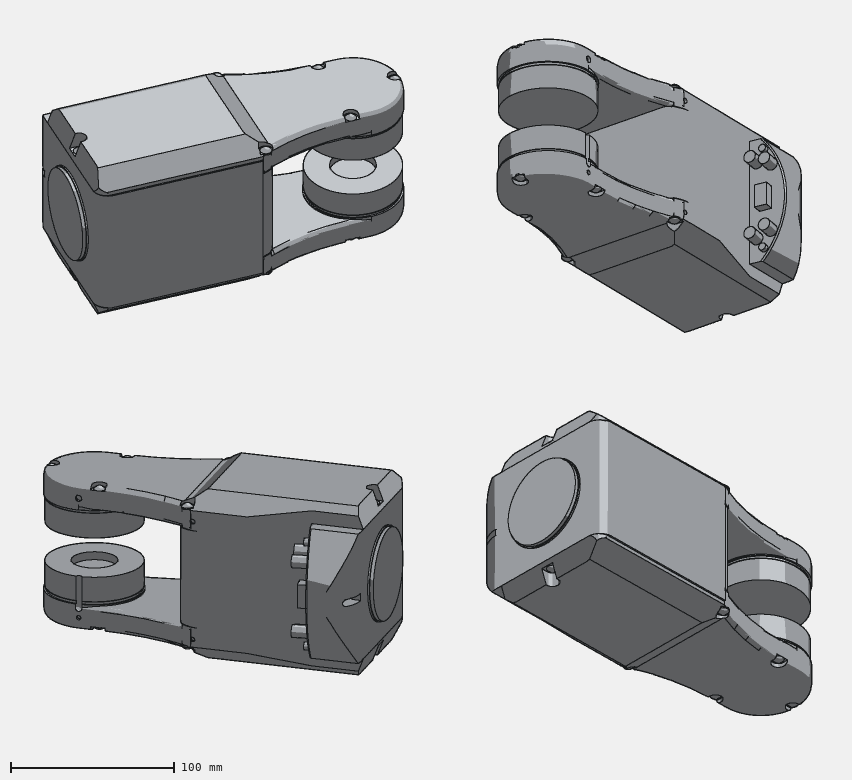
import cadquery as cq
import math


BODY_FRONT_Y = -185.8
BODY_BACK_Y = -70.5
BODY_HALF_WIDTH = 46.0
BODY_HALF_HEIGHT = 55.6
TOP_PANEL_HALF_WIDTH = 30.5
TOP_PANEL_RISE = 0.4
TOP_BEVEL = 2.7
SIDE_BEVEL = 0.4
SIDE_BEVEL_Z = 44.6
FLAT_HALF_HEIGHT = 42.3
BACK_SLOPE_MID_Y = -75.1
BACK_SLOPE_MID_Z = 49.4
BACK_SLOPE_TOP_Y = -84.4
FRONT_BEVEL_Y = -180.8
CORNER_Y = -77.2
CORNER_RADIUS = 13.0
LEFT_TAPER_START_Y = -110.8
LEFT_TAPER_END_Y = -152.8
LEFT_FRONT_X = -38.5
LEFT_TAPER_RADIUS = 10.0
FRONT_CORNER_RADIUS = 8.9

SIDE_PANEL_RISE = 1.1
SIDE_PANEL_BACK_Y = -77.6
SIDE_PANEL_ROOT = 12.0

ARM_RADIUS = 31.25
ARM_OUTER_Z = 47.5
ARM_INNER_Z = 31.6
ARM_STRAIGHT_Y = -14.5
FLARE_RADIUS = 140.0
ARM_COVER_TAPER = 9.0
ARM_OUTER_FILLET = 3.3
ARM_INNER_FILLET = 2.5
ARM_ROOT_Y = -77.0
WEB_BACK_Y = -67.7
WEB_BACK_RADIUS = 8.0
WEB_CORNER_Y = -78.6
WEB_SIDE_RADIUS = 9.5
WEB_ROOT_Y = -84.0

BOSS_FACE_Z = 30.8
BOSS_RADIUS = 31.0
DRUM_NECK_Z = 29.0
DRUM_FACE_Z = 12.8
DRUM_RADIUS = 30.5
NECK_RADIUS = 30.0
DRUM_ROOT_Z = FLAT_HALF_HEIGHT
DRUM_BORE_RADIUS = 14.3
DRUM_BORE_DEPTH = 5.2
KEY_GROOVE_RADIUS = 2.1
KEY_GROOVE_END_Z = -33.3

FLANGE_END_Y = -189.2
FLANGE_STEP_Y = -186.9
FLANGE_BASE_RADIUS = 30.0
FLANGE_FACE_RADIUS = 29.2

POCKET_RADIUS = 4.6
HEAD_RADIUS = 3.7
HEAD_HEIGHT = 2.2
HEAD_SINK = 1.0
ARM_POCKET_FLOOR = 44.7
CORNER_POCKET_FLOOR = 45.5
POCKET_REACH = 12.0
POCKET_CLEARANCE = 1.0
SCREWS = [
    (0.0, 27.5, (0, 1), ARM_POCKET_FLOOR),
    (27.3, -12.2, (1, 0), ARM_POCKET_FLOOR),
    (-27.3, -12.2, (-1, 0), ARM_POCKET_FLOOR),
    (41.2, -73.4, (1, 0), CORNER_POCKET_FLOOR),
    (-41.2, -73.4, (-1, 0), CORNER_POCKET_FLOOR),
    (0.0, -180.0, (0, -1), CORNER_POCKET_FLOOR),
]

PIN_HOLE_DEPTH = 2.0
PIN_HOLES = [
    (0.0, 38.5, 2.0, -ARM_RADIUS),
    (0.0, -39.5, 1.4, -ARM_RADIUS),
    (-78.2, 37.5, 1.6, -BODY_HALF_WIDTH),
    (-78.2, -39.5, 1.4, -BODY_HALF_WIDTH),
]

HOUSING_X = -63.4
HOUSING_SHOULDER_X = -47.2
HOUSING_ROOT_X = -30.0
HOUSING_NOSE_RADIUS = 20.4
HOUSING_BACK_Y = -152.7
HOUSING_BACK_TILT = 9.0
HOUSING_RIM_CHAMFER = 0.9
NOTCH_RADIUS = 2.3
NOTCH_END_Y = -178.9
NOTCH_FLOOR_X = -43.5

PLUG_RADIUS = 4.0
PLUG_LENGTH = 9.8
PLUGS = [(-53.6, 22.8), (-43.7, 26.2)]
FIXING_RADIUS = 2.4
FIXING_LENGTH = 3.1
FIXING_POSITION = (-48.7, 34.0)
SOCKET_X = -49.5
SOCKET_WIDTH = 8.5
SOCKET_LENGTH = 15.2
SOCKET_HEIGHT = 6.6
CONNECTOR_ROOT = 2.0


def box(x0, x1, y0, y1, z0, z1):
    return cq.Workplane("XY").box(x1 - x0, y1 - y0, z1 - z0, centered=False).translate((x0, y0, z0))


def vertical_cylinder(x, y, radius, z0, z1):
    return cq.Workplane("XY", origin=(x, y, z0)).circle(radius).extrude(z1 - z0)


def flare_x(y):
    """Half width of the arm at y on its concave flare."""
    drop = ARM_STRAIGHT_Y - y
    return ARM_RADIUS + FLARE_RADIUS - math.sqrt(FLARE_RADIUS**2 - drop**2)


def body_plan():
    """Body outline seen along Z, with sloped back corners and the tapered -X wall."""
    taper_points = [(-BODY_HALF_WIDTH, LEFT_TAPER_START_Y), (LEFT_FRONT_X, LEFT_TAPER_END_Y)]
    plan = (
        cq.Workplane("XY", origin=(0, 0, -BODY_HALF_HEIGHT))
        .moveTo(flare_x(BODY_BACK_Y), BODY_BACK_Y)
        .lineTo(BODY_HALF_WIDTH, CORNER_Y)
        .lineTo(BODY_HALF_WIDTH, BODY_FRONT_Y)
        .lineTo(LEFT_FRONT_X, BODY_FRONT_Y)
        .lineTo(*taper_points[1])
        .lineTo(*taper_points[0])
        .lineTo(-BODY_HALF_WIDTH, CORNER_Y)
        .lineTo(-flare_x(BODY_BACK_Y), BODY_BACK_Y)
        .close()
        .extrude(2 * BODY_HALF_HEIGHT)
    )
    front_corner = cq.selectors.NearestToPointSelector((BODY_HALF_WIDTH, BODY_FRONT_Y, 0))
    taper_corner = cq.selectors.NearestToPointSelector((*taper_points[0], 0))
    for side in (1, -1):
        back_corner = cq.selectors.NearestToPointSelector((side * BODY_HALF_WIDTH, CORNER_Y, 0))
        plan = plan.edges(back_corner).fillet(CORNER_RADIUS)
    plan = plan.edges(front_corner).fillet(FRONT_CORNER_RADIUS)
    return plan.edges(taper_corner).fillet(LEFT_TAPER_RADIUS)


def body_cross_section():
    """Chamfered rectangle seen along Y."""
    quarter = [
        (TOP_PANEL_HALF_WIDTH, BODY_HALF_HEIGHT),
        (TOP_PANEL_HALF_WIDTH + TOP_BEVEL, BODY_HALF_HEIGHT - TOP_PANEL_RISE),
        (BODY_HALF_WIDTH - SIDE_BEVEL, SIDE_BEVEL_Z),
        (BODY_HALF_WIDTH, FLAT_HALF_HEIGHT),
    ]
    right = quarter + [(x, -z) for x, z in reversed(quarter)]
    left = [(-x, z) for x, z in reversed(right)]
    length = BODY_BACK_Y - BODY_FRONT_Y
    plane = cq.Workplane("XZ", origin=(0, BODY_BACK_Y, 0))
    return plane.polyline(right + left).close().extrude(length)


def body_side_profile():
    """Body seen along X: sloped towards the arms, bevelled towards the front face."""
    upper = [
        (BODY_BACK_Y, ARM_OUTER_Z),
        (BACK_SLOPE_MID_Y, BACK_SLOPE_MID_Z),
        (BACK_SLOPE_TOP_Y, BODY_HALF_HEIGHT),
        (FRONT_BEVEL_Y, BODY_HALF_HEIGHT),
        (BODY_FRONT_Y, FLAT_HALF_HEIGHT),
    ]
    lower = [(y, -z) for y, z in reversed(upper)]
    plane = cq.Workplane("YZ")
    return plane.polyline(upper + lower).close().extrude(BODY_HALF_WIDTH, both=True)


def side_panel():
    """Raised panel on the +X face that wraps around the front corner."""
    outer_x = BODY_HALF_WIDTH + SIDE_PANEL_RISE
    panel = box(outer_x - SIDE_PANEL_ROOT, outer_x, BODY_FRONT_Y, SIDE_PANEL_BACK_Y,
                -FLAT_HALF_HEIGHT, FLAT_HALF_HEIGHT)
    return panel.edges(">X and <Y").fillet(FRONT_CORNER_RADIUS + SIDE_PANEL_RISE)


def arm():
    """Upper arm with concave flared sides, rounded rims and a round end left square on the inside."""
    mid_y = (ARM_STRAIGHT_Y + ARM_ROOT_Y) / 2
    root_x = flare_x(ARM_ROOT_Y)
    plate = (
        cq.Workplane("XY", origin=(0, 0, ARM_INNER_Z))
        .moveTo(-ARM_RADIUS, 0)
        .threePointArc((0, ARM_RADIUS), (ARM_RADIUS, 0))
        .lineTo(ARM_RADIUS, ARM_STRAIGHT_Y)
        .threePointArc((flare_x(mid_y), mid_y), (root_x, ARM_ROOT_Y))
        .lineTo(-root_x, ARM_ROOT_Y)
        .threePointArc((-flare_x(mid_y), mid_y), (-ARM_RADIUS, ARM_STRAIGHT_Y))
        .close()
        .extrude(FLAT_HALF_HEIGHT - ARM_INNER_Z)
    )
    plate = plate.faces(">Z").wires().toPending().workplane()
    plate = plate.extrude(ARM_OUTER_Z - FLAT_HALF_HEIGHT, taper=ARM_COVER_TAPER)
    plate = plate.faces(">Z").edges("not <Y").fillet(ARM_OUTER_FILLET)
    plate = plate.faces("<Z").edges("not <Y").fillet(ARM_INNER_FILLET)
    tip_space = box(-ARM_RADIUS, ARM_RADIUS, 0, ARM_RADIUS, BOSS_FACE_Z, DRUM_ROOT_Z)
    tip = vertical_cylinder(0, 0, ARM_RADIUS, BOSS_FACE_Z, DRUM_ROOT_Z).intersect(tip_space)
    return plate.cut(tip_space).union(tip)


def drum():
    """Stepped pivot drum below the upper arm: boss, neck and drum."""
    boss = vertical_cylinder(0, 0, BOSS_RADIUS, BOSS_FACE_Z, DRUM_ROOT_Z)
    neck = vertical_cylinder(0, 0, NECK_RADIUS, DRUM_NECK_Z, BOSS_FACE_Z)
    return boss.union(neck).union(vertical_cylinder(0, 0, DRUM_RADIUS, DRUM_FACE_Z, DRUM_NECK_Z))


def web_space():
    """Room between the arms, cleared of the body before the web is added."""
    return box(-BODY_HALF_WIDTH, BODY_HALF_WIDTH, WEB_ROOT_Y, BODY_BACK_Y, -ARM_INNER_Z, ARM_INNER_Z)


def web():
    """Rounded back wall of the body between the two arms."""
    slope = (BODY_HALF_WIDTH - flare_x(BODY_BACK_Y)) / (BODY_BACK_Y - CORNER_Y)
    back_half_width = BODY_HALF_WIDTH - slope * (WEB_BACK_Y - WEB_CORNER_Y)
    wall = (
        cq.Workplane("XY", origin=(0, 0, -ARM_INNER_Z))
        .polyline([
            (back_half_width, WEB_BACK_Y),
            (BODY_HALF_WIDTH, WEB_CORNER_Y),
            (BODY_HALF_WIDTH, WEB_ROOT_Y),
            (-BODY_HALF_WIDTH, WEB_ROOT_Y),
            (-BODY_HALF_WIDTH, WEB_CORNER_Y),
            (-back_half_width, WEB_BACK_Y),
        ])
        .close()
        .extrude(2 * ARM_INNER_Z)
    )
    wall = wall.edges("|Z and >Y").fillet(WEB_BACK_RADIUS)
    for side in (1, -1):
        corner = cq.selectors.NearestToPointSelector((side * BODY_HALF_WIDTH, WEB_CORNER_Y, 0))
        wall = wall.edges(corner).fillet(WEB_SIDE_RADIUS)
    return wall


def flange():
    base = cq.Workplane("XZ", origin=(0, BODY_FRONT_Y, 0)).circle(FLANGE_BASE_RADIUS)
    base = base.extrude(BODY_FRONT_Y - FLANGE_STEP_Y)
    face = cq.Workplane("XZ", origin=(0, FLANGE_STEP_Y, 0)).circle(FLANGE_FACE_RADIUS)
    return base.union(face.extrude(FLANGE_STEP_Y - FLANGE_END_Y))


def housing_back_y(x):
    """Y of the tilted housing back face at x."""
    return HOUSING_BACK_Y - (LEFT_FRONT_X - x) * math.tan(math.radians(HOUSING_BACK_TILT))


def housing():
    """Bulged connector housing: plan outline trimmed by an arched cross-section."""
    nose_depth = HOUSING_NOSE_RADIUS * math.cos(math.pi / 4)
    nose_x = HOUSING_X + HOUSING_NOSE_RADIUS
    nose_y = BODY_FRONT_Y + HOUSING_NOSE_RADIUS
    plan = (
        cq.Workplane("XY", origin=(0, 0, -FLAT_HALF_HEIGHT))
        .moveTo(HOUSING_ROOT_X, housing_back_y(LEFT_FRONT_X))
        .lineTo(LEFT_FRONT_X, HOUSING_BACK_Y)
        .lineTo(HOUSING_X, housing_back_y(HOUSING_X))
        .lineTo(HOUSING_X, nose_y)
        .threePointArc((nose_x - nose_depth, nose_y - nose_depth), (nose_x, BODY_FRONT_Y))
        .lineTo(HOUSING_ROOT_X, BODY_FRONT_Y)
        .close()
        .extrude(2 * FLAT_HALF_HEIGHT)
    )
    arch = (
        cq.Workplane("XZ", origin=(0, HOUSING_BACK_Y, 0))
        .moveTo(HOUSING_ROOT_X, FLAT_HALF_HEIGHT)
        .lineTo(HOUSING_SHOULDER_X, FLAT_HALF_HEIGHT)
        .threePointArc((HOUSING_X, 0), (HOUSING_SHOULDER_X, -FLAT_HALF_HEIGHT))
        .lineTo(HOUSING_ROOT_X, -FLAT_HALF_HEIGHT)
        .close()
        .extrude(HOUSING_BACK_Y - BODY_FRONT_Y)
    )
    rim = cq.selectors.NearestToPointSelector((HOUSING_X, housing_back_y(HOUSING_X), 0))
    bulge = plan.intersect(arch).edges(rim).chamfer(HOUSING_RIM_CHAMFER)
    notch_y = NOTCH_END_Y - NOTCH_RADIUS
    notch = box(HOUSING_X, NOTCH_FLOOR_X, BODY_FRONT_Y, notch_y, -NOTCH_RADIUS, NOTCH_RADIUS)
    notch_end = cq.Workplane("YZ", origin=(HOUSING_X, notch_y, 0)).circle(NOTCH_RADIUS)
    return bulge.cut(notch).cut(notch_end.extrude(NOTCH_FLOOR_X - HOUSING_X))


def back_face_plane(x, z):
    """Workplane on the housing back face, its normal pointing out of the housing."""
    tilt = math.radians(HOUSING_BACK_TILT)
    normal = cq.Vector(-math.sin(tilt), math.cos(tilt), 0)
    origin = cq.Vector(x, housing_back_y(x), z) - normal * CONNECTOR_ROOT
    return cq.Workplane(cq.Plane(origin, xDir=(0, 0, 1), normal=normal))


def connectors():
    """Round plugs and fixing screws in mirrored pairs, with one rectangular socket between."""
    socket = back_face_plane(SOCKET_X, 0).rect(SOCKET_LENGTH, SOCKET_WIDTH)
    parts = socket.extrude(SOCKET_HEIGHT + CONNECTOR_ROOT)
    for side in (1, -1):
        for x, z in PLUGS:
            plug = back_face_plane(x, side * z).circle(PLUG_RADIUS)
            parts = parts.union(plug.extrude(PLUG_LENGTH + CONNECTOR_ROOT))
        x, z = FIXING_POSITION
        fixing = back_face_plane(x, side * z).circle(FIXING_RADIUS)
        parts = parts.union(fixing.extrude(FIXING_LENGTH + CONNECTOR_ROOT))
    return parts


def screw_pocket(x, y, direction, floor):
    """Round-ended pocket in the upper side that runs out to the nearest outer wall."""
    top = BODY_HALF_HEIGHT + POCKET_CLEARANCE
    outward = math.degrees(math.atan2(direction[1], direction[0]))
    return (
        cq.Workplane("XY")
        .moveTo(0, POCKET_RADIUS)
        .threePointArc((-POCKET_RADIUS, 0), (0, -POCKET_RADIUS))
        .lineTo(POCKET_REACH, -POCKET_RADIUS)
        .lineTo(POCKET_REACH, POCKET_RADIUS)
        .close()
        .extrude(top - floor)
        .rotate((0, 0, 0), (0, 0, 1), outward)
        .translate((x, y, floor))
    )


def screw_head(x, y, floor):
    """Domed screw head standing on the pocket floor."""
    dome_radius = (HEAD_RADIUS**2 + HEAD_HEIGHT**2) / (2 * HEAD_HEIGHT)
    ball = cq.Workplane("XY", origin=(x, y, floor + HEAD_HEIGHT - dome_radius)).sphere(dome_radius)
    return ball.intersect(vertical_cylinder(x, y, HEAD_RADIUS, floor - HEAD_SINK, floor + HEAD_HEIGHT))


def mirrored(shape):
    return shape.mirror("XY")


def build():
    part = body_plan().intersect(body_cross_section()).intersect(body_side_profile())
    part = part.cut(web_space()).union(web())
    part = part.union(side_panel()).union(flange()).union(housing())
    part = part.union(connectors())
    for limb in (arm(), drum()):
        part = part.union(limb).union(mirrored(limb))

    for x, y, direction, floor in SCREWS:
        pocket = screw_pocket(x, y, direction, floor)
        head = screw_head(x, y, floor)
        part = part.cut(pocket).cut(mirrored(pocket))
        part = part.union(head).union(mirrored(head))

    bore = vertical_cylinder(0, 0, DRUM_BORE_RADIUS, -DRUM_FACE_Z - DRUM_BORE_DEPTH, -DRUM_FACE_Z)
    groove = vertical_cylinder(-ARM_RADIUS, 0, KEY_GROOVE_RADIUS, KEY_GROOVE_END_Z, -DRUM_FACE_Z)
    groove_end = cq.Workplane("XY", origin=(-ARM_RADIUS, 0, KEY_GROOVE_END_Z)).sphere(KEY_GROOVE_RADIUS)
    part = part.cut(bore).cut(groove).cut(groove_end)

    for y, z, radius, wall_x in PIN_HOLES:
        hole = cq.Workplane("YZ", origin=(wall_x, y, z)).circle(radius)
        part = part.cut(hole.extrude(PIN_HOLE_DEPTH))
    return part


result = build()